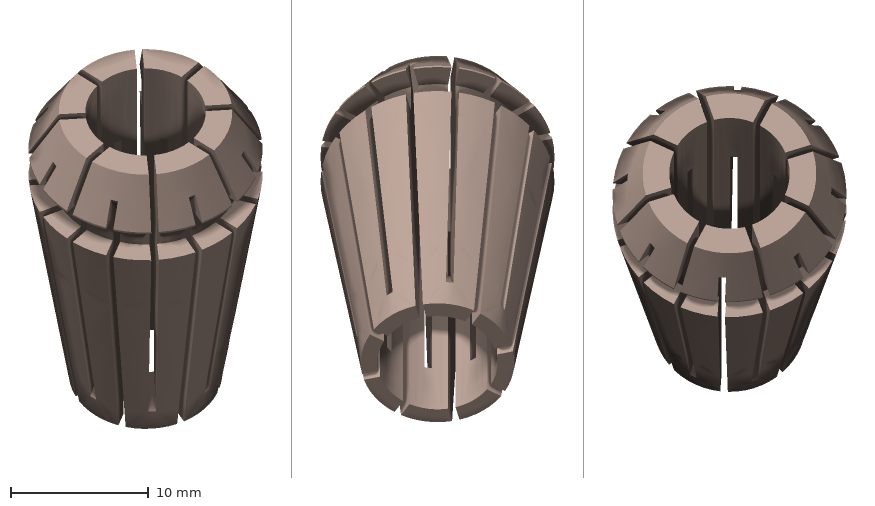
import cadquery as cq
import math


total_height = 27.5
body_height = 20.8
neck_height = 2.75
rim_height = 0.16

outer_radius = 8.5
neck_radius = 6.9
bore_radius = 4.37

body_angle = 8.0
head_angle = 30.0
slot_end_angle = 30.0

slots_per_set = 8
slot_step = 360 / slots_per_set
slot_width = 0.55
top_slot_end_z = 2.12
bottom_slot_end_z = 25.58

head_base_z = body_height + neck_height
rim_top_z = head_base_z + rim_height
body_slope = math.tan(math.radians(body_angle))
head_slope = math.tan(math.radians(head_angle))
slot_end_slope = math.tan(math.radians(slot_end_angle))
foot_radius = outer_radius - body_height * body_slope
top_radius = outer_radius - (total_height - rim_top_z) * head_slope


def revolve_profile(points):
    """Turn a closed (radius, z) outline about the Z axis."""
    return cq.Workplane("XZ").polyline(points).close().revolve(360, (0, 0), (0, 1))


def make_sleeve():
    """Tapered body, neck groove and tapered head around a straight bore."""
    return revolve_profile([
        (bore_radius, 0),
        (foot_radius, 0),
        (outer_radius, body_height),
        (neck_radius, body_height),
        (neck_radius, head_base_z),
        (outer_radius, head_base_z),
        (outer_radius, rim_top_z),
        (top_radius, total_height),
        (bore_radius, total_height),
    ])


def make_slots(end_radius, end_z, open_z, first_angle):
    """Radial slots from open_z to a conical end passing through (end_radius, end_z).

    The end slants towards the open side as it nears the axis.
    """
    towards_open = math.copysign(1, open_z - end_z)
    reach = 2 * outer_radius
    apex_z = end_z + towards_open * end_radius / slot_end_slope
    edge_z = apex_z - towards_open * reach / slot_end_slope
    far_z = apex_z + towards_open * total_height

    envelope = revolve_profile([(0, apex_z), (reach, edge_z), (reach, far_z), (0, far_z)])

    blades = cq.Workplane("XY")
    blade = cq.Workplane("XY").box(2 * reach, slot_width, 2 * total_height)
    for index in range(slots_per_set // 2):
        angle = first_angle + index * slot_step
        blades = blades.add(blade.rotate((0, 0, 0), (0, 0, 1), angle))
    return blades.combine().intersect(envelope)


top_slots = make_slots(
    end_radius=foot_radius + top_slot_end_z * body_slope,
    end_z=top_slot_end_z,
    open_z=total_height,
    first_angle=0,
)
bottom_slots = make_slots(
    end_radius=top_radius + (total_height - bottom_slot_end_z) * head_slope,
    end_z=bottom_slot_end_z,
    open_z=0,
    first_angle=slot_step / 2,
)

result = make_sleeve().cut(top_slots).cut(bottom_slots)